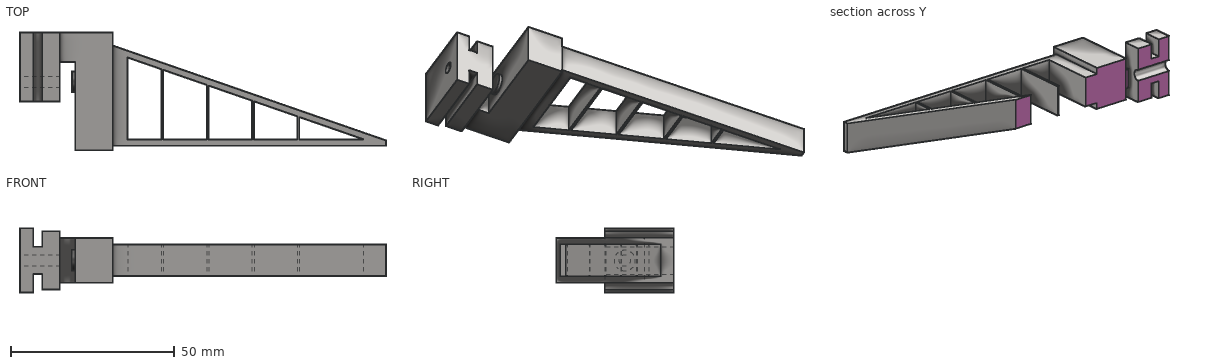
import cadquery as cq

LENGTH = 112.3
WIDTH = 36.2
PLATE_HEIGHT = 19.8

PLATE_THICKNESS = 4.2
SLOT_END_X = 6.8
HEAD_END_X = 12.2
HEAD_WIDTH = 21.2
WEB_HEIGHT = 8.4
INNER_FLANGE_HEIGHT = 18.0
SCREW_HOLE_DIAMETER = 3.5
SCREW_FROM_BACK = 15.2

BLOCK_START_X = 17.0
BLOCK_END_X = 28.5
BLOCK_HEIGHT = 13.8
BRIDGE_WIDTH = 9.1

ARM_HEIGHT = 9.8
ARM_FRONT_Y = 1.3
ARM_ROOT_WIDTH = 30.8
ARM_TIP_WIDTH = 1.7
WINDOW_START_X = 33.0
WINDOW_END_X = 105.2
WINDOW_FRONT_Y = 3.4
WINDOW_ROOT_WIDTH = 25.0
RIB_COUNT = 4
FIRST_RIB_X = 43.7
LAST_RIB_X = 85.3
RIB_PITCH = (LAST_RIB_X - FIRST_RIB_X) / (RIB_COUNT - 1)
RIB_THICKNESS = 0.7

DISC_DIAMETER = 6.4
DISC_THICKNESS = 1.0

SCREW_Y = WIDTH - SCREW_FROM_BACK


def centred_box(start_x, end_x, start_y, end_y, height):
    """Box between the given X and Y limits, centred about Z = 0."""
    return (
        cq.Workplane("XY")
        .box(end_x - start_x, end_y - start_y, height, centered=(False, False, True))
        .translate((start_x, start_y, 0))
    )


def centred_prism(points, height):
    """Polygon in XY extruded symmetrically about Z = 0."""
    return cq.Workplane("XY").polyline(points).close().extrude(height / 2, both=True)


def cylinder_along_x(start_x, length, diameter):
    """Cylinder on the screw axis, running in +X."""
    return (
        cq.Workplane("YZ", origin=(start_x, SCREW_Y, 0))
        .circle(diameter / 2)
        .extrude(length)
    )


def make_clamp_head():
    """Two flanges joined by a web, pierced by the screw hole."""
    front_y = WIDTH - HEAD_WIDTH
    plate = centred_box(0, PLATE_THICKNESS, front_y, WIDTH, PLATE_HEIGHT)
    web = centred_box(PLATE_THICKNESS, SLOT_END_X, front_y, WIDTH, WEB_HEIGHT)
    flange = centred_box(SLOT_END_X, HEAD_END_X, front_y, WIDTH, INNER_FLANGE_HEIGHT)
    screw_hole = cylinder_along_x(0, HEAD_END_X, SCREW_HOLE_DIAMETER)
    return plate.union(web).union(flange).cut(screw_hole)


def make_block():
    """Upright block with a bridge reaching back to the clamp head."""
    bridge = centred_box(HEAD_END_X, BLOCK_START_X, WIDTH - BRIDGE_WIDTH, WIDTH, BLOCK_HEIGHT)
    upright = centred_box(BLOCK_START_X, BLOCK_END_X, 0, WIDTH, BLOCK_HEIGHT)
    return bridge.union(upright)


def make_arm():
    """Tapered arm whose triangular window is crossed by evenly spaced ribs."""
    outline = [
        (BLOCK_END_X, ARM_FRONT_Y),
        (LENGTH, ARM_FRONT_Y),
        (LENGTH, ARM_FRONT_Y + ARM_TIP_WIDTH),
        (BLOCK_END_X, ARM_FRONT_Y + ARM_ROOT_WIDTH),
    ]
    window_outline = [
        (WINDOW_START_X, WINDOW_FRONT_Y),
        (WINDOW_END_X, WINDOW_FRONT_Y),
        (WINDOW_START_X, WINDOW_FRONT_Y + WINDOW_ROOT_WIDTH),
    ]
    window = centred_prism(window_outline, ARM_HEIGHT)
    for index in range(RIB_COUNT):
        rib_start = FIRST_RIB_X + index * RIB_PITCH - RIB_THICKNESS / 2
        rib = centred_box(rib_start, rib_start + RIB_THICKNESS, 0, WIDTH, ARM_HEIGHT)
        window = window.cut(rib)
    return centred_prism(outline, ARM_HEIGHT).cut(window)


def make_bracket():
    """Clamp head, block and arm as one solid."""
    return make_clamp_head().union(make_block()).union(make_arm())


def make_pressure_disc():
    """Disc resting on the block face, coaxial with the screw hole."""
    return cylinder_along_x(BLOCK_START_X - DISC_THICKNESS, DISC_THICKNESS, DISC_DIAMETER)


bracket = make_bracket().solids()
pressure_disc = make_pressure_disc()

result = cq.Compound.makeCompound([bracket.val(), pressure_disc.val()])